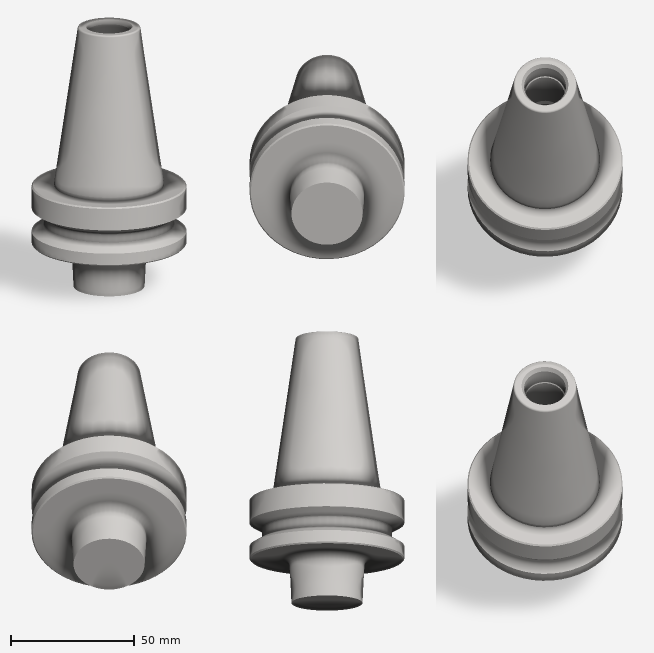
import cadquery as cq
import math

total_height = 110.4
flange_bottom = 18.1
flange_top = 43.1
taper_base = 44.4

taper_ratio = 7 / 24
taper_base_radius = 22.3
taper_tip_radius = taper_base_radius - (total_height - taper_base) * taper_ratio / 2
tip_fillet = 0.8

flange_diameter = 63.0
flange_radius = flange_diameter / 2
flange_chamfer = 0.5
groove_floor_radius = 26.5
groove_floor_bottom = 26.4
groove_floor_top = 30.5
groove_wall_angle = 30.0
groove_fillet = 0.5
groove_wall_rise = (flange_radius - groove_floor_radius) * math.tan(math.radians(groove_wall_angle))

nose_tip_radius = 14.5
nose_root_radius = 15.2
nose_fillet = 2.9
nose_root = flange_bottom - nose_fillet

mouth_radius = 9.5
bore_radius = 8.5
bore_depth = 9.0
thread_radius = 8.0
core_radius = 7.0
thread_depth = 29.8
core_depth = 39.7
mouth_angle = 30.0
drill_tip_angle = 118.0


def revolve(profile):
    return profile.close().revolve(360, (0, 0, 0), (0, 1, 0))


def make_nose():
    arc_dip = nose_fillet * (1 - math.sqrt(0.5))
    return revolve(
        cq.Workplane("XZ")
        .lineTo(nose_tip_radius, 0)
        .lineTo(nose_root_radius, nose_root)
        .threePointArc(
            (nose_root_radius + arc_dip, flange_bottom - arc_dip),
            (nose_root_radius + nose_fillet, flange_bottom),
        )
        .lineTo(0, flange_bottom)
    )


def make_flange():
    flange = (
        cq.Workplane("XY", origin=(0, 0, flange_bottom))
        .circle(flange_radius)
        .extrude(flange_top - flange_bottom)
        .faces("<Z or >Z")
        .chamfer(flange_chamfer)
    )
    groove = revolve(
        cq.Workplane("XZ")
        .moveTo(flange_radius, groove_floor_bottom - groove_wall_rise)
        .lineTo(groove_floor_radius, groove_floor_bottom)
        .lineTo(groove_floor_radius, groove_floor_top)
        .lineTo(flange_radius, groove_floor_top + groove_wall_rise)
    )
    floor_edges = cq.selectors.RadiusNthSelector(0)
    return flange.cut(groove.edges("%CIRCLE").edges(floor_edges).fillet(groove_fillet))


def make_taper():
    taper = revolve(
        cq.Workplane("XZ")
        .moveTo(0, flange_top)
        .lineTo(taper_base_radius, flange_top)
        .lineTo(taper_base_radius, taper_base)
        .lineTo(taper_tip_radius, total_height)
        .lineTo(0, total_height)
    )
    return taper.faces(">Z").edges().fillet(tip_fillet)


def make_bore():
    mouth_depth = (mouth_radius - bore_radius) / math.tan(math.radians(mouth_angle))
    shoulder_depth = thread_radius - core_radius
    drill_tip_depth = core_radius / math.tan(math.radians(drill_tip_angle / 2))
    return revolve(
        cq.Workplane("XZ")
        .moveTo(0, total_height)
        .lineTo(mouth_radius, total_height)
        .lineTo(bore_radius, total_height - mouth_depth)
        .lineTo(bore_radius, total_height - bore_depth)
        .lineTo(thread_radius, total_height - bore_depth)
        .lineTo(thread_radius, total_height - thread_depth)
        .lineTo(core_radius, total_height - thread_depth - shoulder_depth)
        .lineTo(core_radius, total_height - core_depth)
        .lineTo(0, total_height - core_depth - drill_tip_depth)
    )


result = make_nose().union(make_flange()).union(make_taper()).cut(make_bore())